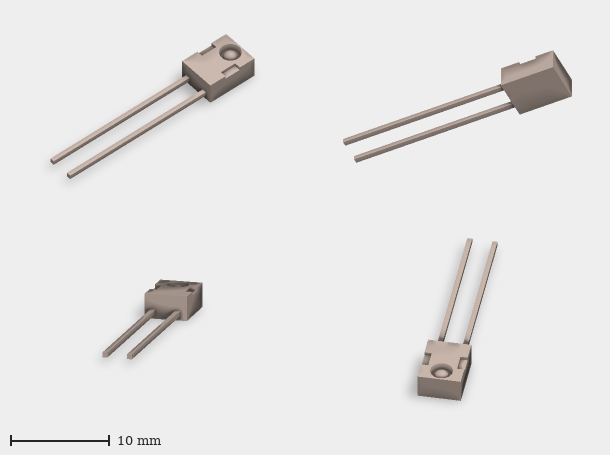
import cadquery as cq

BODY_WIDTH = 4.45
BODY_LENGTH = 5.84
BODY_HEIGHT = 2.54
TOTAL_LENGTH = 23.81

LEAD_SIDE = 0.51
LEAD_PITCH = 2.59
LEAD_BOTTOM = 0.51

NOTCH_DEPTH = 0.36
NOTCH_WIDTH = 0.74
NOTCH_LENGTH = 1.88
NOTCH_SETBACK = 1.94

RECESS_MOUTH_DIAMETER = 2.30
RECESS_FLOOR_DIAMETER = 1.89
RECESS_DEPTH = 0.61
LENS_DIAMETER = 1.64
LENS_CENTRE_DEPTH = 0.88
LENS_SETBACK = 1.32

LEAD_LENGTH = TOTAL_LENGTH - BODY_LENGTH
LENS_Y = BODY_LENGTH - LENS_SETBACK
LENS_Z = BODY_HEIGHT - LENS_CENTRE_DEPTH
SIDES = (-1, 1)


def make_body():
    """Rectangular housing, centred on X."""
    return cq.Workplane("XY").box(BODY_WIDTH, BODY_LENGTH, BODY_HEIGHT, centered=(True, False, False))


def make_notch(side):
    """Shallow cut in one upper long edge of the housing."""
    centre_x = side * (BODY_WIDTH - NOTCH_WIDTH) / 2
    start_y = BODY_LENGTH - NOTCH_SETBACK - NOTCH_LENGTH
    return (
        cq.Workplane("XY")
        .box(NOTCH_WIDTH, NOTCH_LENGTH, NOTCH_DEPTH, centered=(True, False, False))
        .translate((centre_x, start_y, BODY_HEIGHT - NOTCH_DEPTH))
    )


def make_recess():
    """Round recess around the lens, tapering from its mouth to a flat floor."""
    return (
        cq.Workplane("XY", origin=(0, LENS_Y, BODY_HEIGHT - RECESS_DEPTH))
        .circle(RECESS_FLOOR_DIAMETER / 2)
        .workplane(offset=RECESS_DEPTH)
        .circle(RECESS_MOUTH_DIAMETER / 2)
        .loft(ruled=True)
    )


def make_lens():
    """Spherical lens sunk in the body; its cap rises from the recess floor, below the top face."""
    return cq.Workplane("XY").sphere(LENS_DIAMETER / 2).translate((0, LENS_Y, LENS_Z))


def make_lead(side):
    """Straight square lead running from the body's end face towards -Y."""
    return (
        cq.Workplane("XY")
        .box(LEAD_SIDE, LEAD_LENGTH, LEAD_SIDE, centered=(True, False, False))
        .translate((side * LEAD_PITCH / 2, -LEAD_LENGTH, LEAD_BOTTOM))
    )


result = make_body().cut(make_recess()).union(make_lens())
for side in SIDES:
    result = result.cut(make_notch(side)).union(make_lead(side))